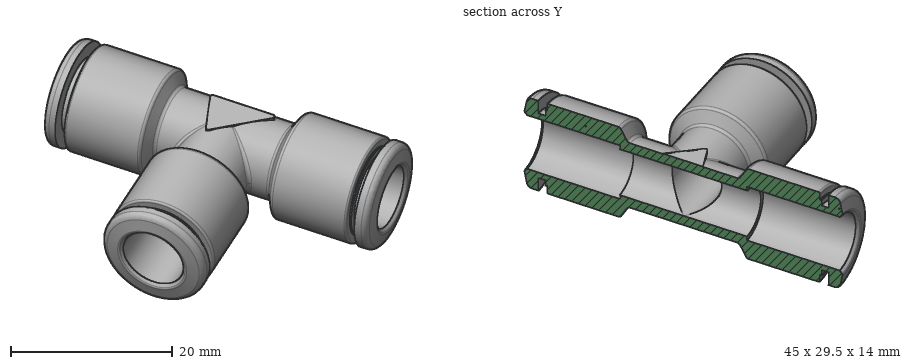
import cadquery as cq
import math

arm_length = 22.5
run_neck_dia = 10.1
branch_neck_dia = 10.0
saddle_fillet = 0.5

passage_dia = 7.0
tube_bore_dia = 8.25
tube_stop = 9.0

body_dia = 14.0
body_end = 19.3
body_end_fillet = 0.25
shoulder_start = 7.85
shoulder_angle = 60.0
shoulder_fillet = 0.5
collar_dia = 11.7
collar_end = 19.55

collet_neck_dia = 10.1
flange_start = 20.48
flange_fillet = 0.85
face_tilt = 11.0
lip_round = 0.3
lip_crest_dia = 9.35
countersink_angle = 45.0

marker_points = [(-3.6, 2.45), (5.85, 2.45), (-1.5, -3.6)]
marker_corner_radius = 0.3
marker_top = 5.1


def fillet_circle(shape, position, radius, fillet):
    """Fillet the circular edge found at one place on a shape turned about X."""
    edges = [
        edge
        for edge in shape.edges("%CIRCLE").vals()
        if math.isclose(edge.Center().x, position, abs_tol=0.0005)
        and math.isclose(edge.radius(), radius, abs_tol=0.0005)
    ]
    return shape.newObject(edges).fillet(fillet)


def make_arm(neck_dia):
    """Solid neck, body and collet turned about +X, with the tube bore cut in."""
    neck = neck_dia / 2
    body = body_dia / 2
    collet_neck = collet_neck_dia / 2
    collar = collar_dia / 2
    tube_bore = tube_bore_dia / 2

    shoulder_end = shoulder_start + (body - neck) / math.tan(math.radians(shoulder_angle))

    tilt = math.radians(face_tilt)
    sink = math.radians(countersink_angle)
    lip_x = arm_length - lip_round
    lip_r = lip_crest_dia / 2
    lip_outer = (lip_x + lip_round * math.cos(tilt), lip_r + lip_round * math.sin(tilt))
    lip_inner = (lip_x + lip_round * math.cos(sink), lip_r - lip_round * math.sin(sink))
    rim_x = lip_outer[0] - (body - lip_outer[1]) * math.tan(tilt)
    sink_bottom = lip_inner[0] - (lip_inner[1] - tube_bore) / math.tan(sink)

    arm = (
        cq.Workplane("XY")
        .lineTo(0, neck)
        .lineTo(shoulder_start, neck)
        .lineTo(shoulder_end, body)
        .lineTo(body_end, body)
        .lineTo(body_end, collar)
        .lineTo(collar_end, collar)
        .lineTo(collar_end, collet_neck)
        .lineTo(flange_start, collet_neck)
        .lineTo(flange_start, body)
        .lineTo(rim_x, body)
        .lineTo(*lip_outer)
        .threePointArc((arm_length, lip_r), lip_inner)
        .lineTo(sink_bottom, tube_bore)
        .lineTo(tube_stop, tube_bore)
        .lineTo(tube_stop, 0)
        .close()
        .revolve(360, (0, 0, 0), (1, 0, 0))
    )
    arm = fillet_circle(arm, shoulder_start, neck, shoulder_fillet)
    arm = fillet_circle(arm, shoulder_end, body, shoulder_fillet)
    arm = fillet_circle(arm, body_end, body, body_end_fillet)
    return fillet_circle(arm, rim_x, body, flange_fillet)


def join_arms():
    """Run and branch in one solid, with a fillet where the two necks meet."""
    run_arm = make_arm(run_neck_dia)
    run = run_arm.union(run_arm.mirror("YZ"))
    branch = make_arm(branch_neck_dia).rotate((0, 0, 0), (0, 0, 1), -90)
    tee = run.union(branch)
    reach = body_dia / 2
    crossing = cq.selectors.BoxSelector((-reach, -reach, -reach), (reach, 0, reach))
    return tee.edges(crossing).edges("%BSPLINE").fillet(saddle_fillet)


def make_marker():
    """Triangular plate with rounded corners, rising from inside the necks."""
    plate = cq.Workplane("XY").polyline(marker_points).close().extrude(marker_top)
    return plate.edges("|Z").fillet(marker_corner_radius)


def cut_passages(tee):
    """Flow passage through the run and into the branch."""
    run_passage = (
        cq.Workplane("YZ").circle(passage_dia / 2).extrude(arm_length, both=True)
    )
    branch_passage = cq.Workplane("XZ").circle(passage_dia / 2).extrude(arm_length)
    return tee.cut(run_passage).cut(branch_passage)


result = cut_passages(join_arms().union(make_marker()))